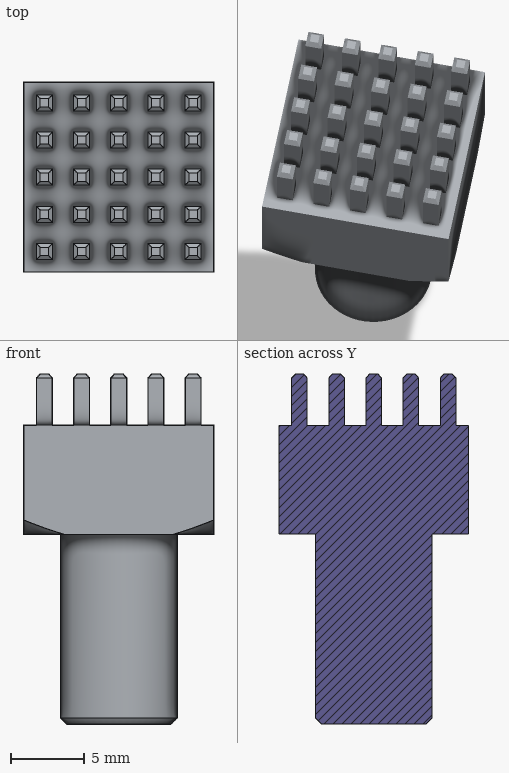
import cadquery as cq
import math

total_height = 24
shaft_height = 13.0
block_height = 7.5
block_top = shaft_height + block_height
pin_height = total_height - block_top

block_side = 13.0
block_underside_radius = 7.5
corner_cone_angle = 30

shaft_diameter = 8.02
shaft_chamfer = 0.45

pins_per_side = 5
pin_pitch = 2.55
pin_side = 1.1
pin_tip_side = 0.58
pin_tip_height = 0.3


def make_shaft():
    shaft = cq.Workplane("XY").circle(shaft_diameter / 2).extrude(shaft_height)
    return shaft.faces("<Z").chamfer(shaft_chamfer)


def make_block():
    block = (
        cq.Workplane("XY")
        .workplane(offset=shaft_height)
        .rect(block_side, block_side)
        .extrude(block_height)
    )
    clear_radius = block_side
    cone_width = clear_radius - block_underside_radius
    cone_height = cone_width * math.tan(math.radians(corner_cone_angle))
    envelope = (
        cq.Workplane("XZ")
        .moveTo(0, shaft_height)
        .lineTo(block_underside_radius, shaft_height)
        .lineTo(clear_radius, shaft_height + cone_height)
        .lineTo(clear_radius, block_top)
        .lineTo(0, block_top)
        .close()
        .revolve(360, (0, 0), (0, 1))
    )
    return block.intersect(envelope)


def pin_squares(height):
    """Squares for every pin, centred on the block at the given height."""
    return (
        cq.Workplane("XY")
        .workplane(offset=height)
        .rarray(pin_pitch, pin_pitch, pins_per_side, pins_per_side)
        .rect(pin_side, pin_side)
    )


def make_pins():
    shank_height = pin_height - pin_tip_height
    tip_inset = (pin_side - pin_tip_side) / 2
    tip_taper = math.degrees(math.atan2(tip_inset, pin_tip_height))
    shanks = pin_squares(block_top).extrude(shank_height)
    tips = pin_squares(block_top + shank_height).extrude(pin_tip_height, taper=tip_taper)
    return shanks.union(tips)


result = make_shaft().union(make_block()).union(make_pins())